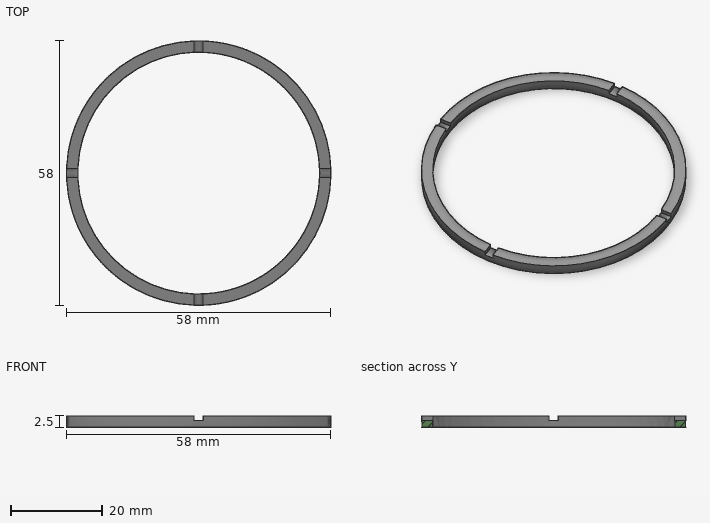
import cadquery as cq

outer_diameter = 58.0
wall = 2.5
height = 2.5
inner_diameter = outer_diameter - 2 * wall

notch_width = 2.0
notch_depth = 1.0
notch_floor = height - notch_depth


def make_ring():
    """Plain ring standing on the XY plane."""
    return cq.Workplane("XY").circle(outer_diameter / 2).circle(inner_diameter / 2).extrude(height)


def make_notch_pair(angle):
    """Bar spanning the ring, cutting two opposite notches."""
    bar = cq.Workplane("XY", origin=(0, 0, notch_floor)).rect(outer_diameter, notch_width).extrude(notch_depth)
    return bar.rotate((0, 0, 0), (0, 0, 1), angle)


result = make_ring()
for angle in (0, 90):
    result = result.cut(make_notch_pair(angle))